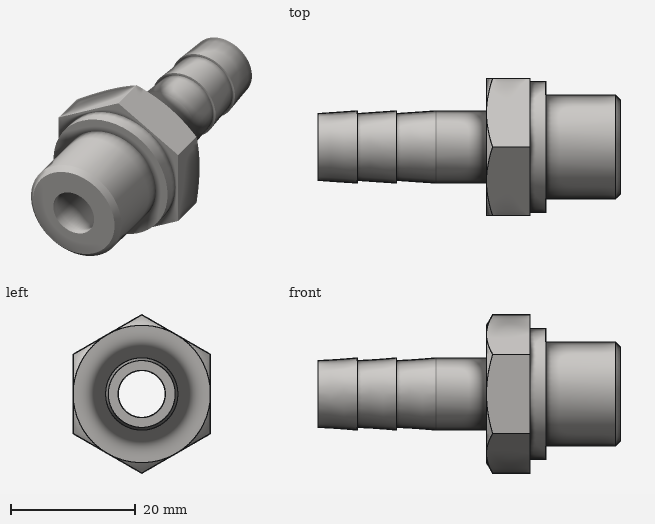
import cadquery as cq
import math

total_length = 48.5
barb_pitch = 6.3
barb_count = 3
hex_start = 27.0
hex_end = 34.0
collar_end = 36.5

bore_diameter = 7.5
barb_tip_diameter = 10.7
hose_diameter = 11.6
collar_diameter = 21.0
spigot_diameter = 16.7

across_flats = 22.0
hex_chamfer_angle = 30.0
spigot_chamfer = 0.82

across_corners = across_flats / math.cos(math.radians(30))


def cylinder(diameter, start, end):
    """Solid cylinder along X between two axial stations."""
    return cq.Workplane("YZ", origin=(start, 0, 0)).circle(diameter / 2).extrude(end - start)


def hose_tail():
    """Barbs that widen away from the hose end, followed by a plain shank."""
    points = [(0, 0)]
    for index in range(barb_count):
        points.append((index * barb_pitch, barb_tip_diameter / 2))
        points.append(((index + 1) * barb_pitch, hose_diameter / 2))
    points += [(hex_start, hose_diameter / 2), (hex_start, 0)]
    return cq.Workplane("XY").polyline(points).close().revolve(360, (0, 0, 0), (1, 0, 0))


def hexagon():
    """Hexagon with corners on Z, its corners chamfered on the hose side by a cone."""
    prism = (
        cq.Workplane("YZ", origin=(hex_start, 0, 0))
        .transformed(rotate=(0, 0, 90))
        .polygon(6, across_corners)
        .extrude(hex_end - hex_start)
    )
    flat_radius = across_flats / 2
    corner_radius = across_corners / 2
    chamfer_depth = (corner_radius - flat_radius) * math.tan(math.radians(hex_chamfer_angle))
    envelope = (
        cq.Workplane("XY")
        .moveTo(hex_start, 0)
        .lineTo(hex_start, flat_radius)
        .lineTo(hex_start + chamfer_depth, corner_radius)
        .lineTo(hex_end, corner_radius)
        .lineTo(hex_end, 0)
        .close()
        .revolve(360, (0, 0, 0), (1, 0, 0))
    )
    return prism.intersect(envelope)


collar = cylinder(collar_diameter, hex_end, collar_end)
spigot = cylinder(spigot_diameter, collar_end, total_length).faces(">X").chamfer(spigot_chamfer)
bore = cylinder(bore_diameter, 0, total_length)

result = hose_tail().union(hexagon()).union(collar).union(spigot).cut(bore)